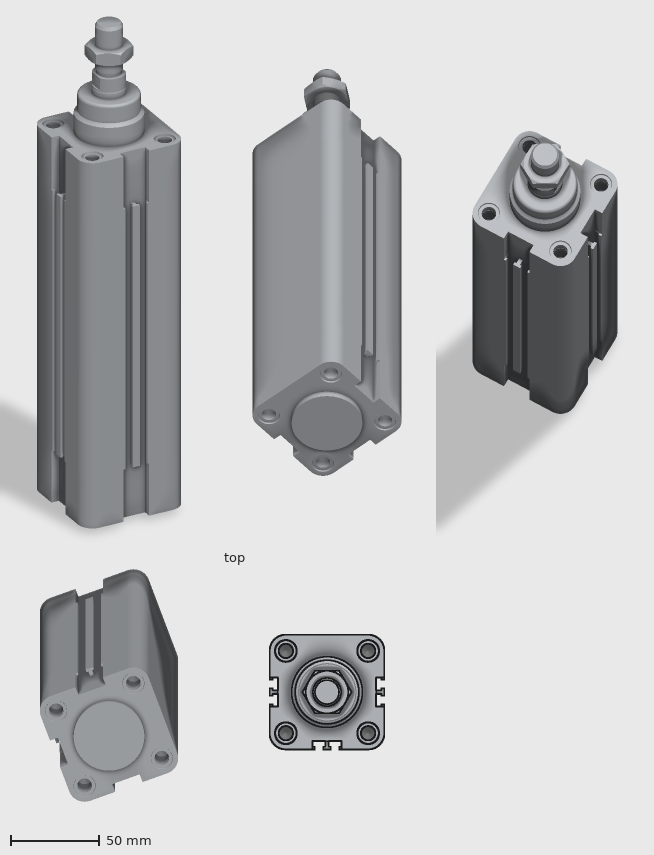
import cadquery as cq
import math

section_size = 65.0
bolt_spacing = 46.5
corner_radius = (section_size - bolt_spacing) / 2

cap_length = 33.0
tube_length = 165.0
tube_bottom = cap_length
tube_top = tube_bottom + tube_length
front_face = tube_top + cap_length

collar_diameter = 40.0
rear_collar_height = 4.0
front_collar_height = 14.0
nose_diameter = 36.0
nose_height = 25.0
collar_taper = (collar_diameter - nose_diameter) / 2
nose_fillet = 1.8

bolt_hole_diameter = 8.0
bolt_hole_mouth_diameter = 8.2
bolt_hole_mouth_depth = 6.0
bolt_hole_depth = 20.0
drill_point_angle = 118.0
counterbore_diameter = 12.5
counterbore_floor_diameter = 12.0
counterbore_depth = 1.0

groove_depth = 4.8
cap_groove_width = 16.5
slot_offset = 4.6
slot_opening = 4.8
slot_inner_width = 7.0
slot_lip = 1.7
groove_face_angles = (0, 90, -90)

rod_diameter = 20.0
wrench_neck_diameter = 19.5
wrench_neck_length = 8.3
wrench_neck_taper = 1.0
wrench_flats = 17.0
wrench_flats_length = 7.5
undercut_diameter = 14.5
undercut_length = 2.5
thread_diameter = 16.0
thread_chamfer_width = 1.2
thread_chamfer_length = 2.0
rod_stick_out = 69.0
rod_top = front_face + rod_stick_out
thread_length = 31.5
rod_shoulder = rod_top - thread_length

nut_flats = 24.0
nut_height = 8.0
nut_setback = 22.0
nut_bottom = rod_top - nut_setback
nut_chamfer_angle = 30.0


def square_block(bottom, length):
    """Square bar with rounded corners, standing on the given height."""
    return (
        cq.Workplane("XY", origin=(0, 0, bottom))
        .rect(section_size, section_size)
        .extrude(length)
        .edges("|Z")
        .fillet(corner_radius)
    )


def face_groove(offset, width, near_depth, far_depth, bottom, length):
    """Bar that cuts the -Y face between two depths below the face."""
    return (
        cq.Workplane("XY", origin=(offset, (near_depth + far_depth - section_size) / 2, bottom))
        .rect(width, far_depth - near_depth)
        .extrude(length)
    )


def cut_on_faces(block, cutter):
    """Repeat a cutter made for the -Y face on the three grooved faces."""
    for angle in groove_face_angles:
        block = block.cut(cutter.rotate((0, 0, 0), (0, 0, 1), angle))
    return block


def bolt_hole():
    """Stepped blind hole with a tapered counterbore and a drill point, going down from Z = 0."""
    radius = bolt_hole_diameter / 2
    mouth_radius = bolt_hole_mouth_diameter / 2
    tip = bolt_hole_depth + radius / math.tan(math.radians(drill_point_angle / 2))
    return (
        cq.Workplane("XZ")
        .polyline([
            (0, 0),
            (counterbore_diameter / 2, 0),
            (counterbore_floor_diameter / 2, -counterbore_depth),
            (mouth_radius, -counterbore_depth),
            (mouth_radius, -bolt_hole_mouth_depth),
            (radius, -bolt_hole_mouth_depth),
            (radius, -bolt_hole_depth),
            (0, -tip),
        ])
        .close()
        .revolve(360, (0, 0), (0, 1))
    )


def make_cap(bottom):
    """Cap block with one wide groove in each grooved face."""
    groove = face_groove(0, cap_groove_width, 0, groove_depth, bottom, cap_length)
    return cut_on_faces(square_block(bottom, cap_length), groove)


def cut_bolt_holes(cap, outer_face, flipped):
    """Cut the four corner holes from the outer face into the cap."""
    hole = bolt_hole()
    if flipped:
        hole = hole.rotate((0, 0, 0), (1, 0, 0), 180)
    for x in (-bolt_spacing / 2, bolt_spacing / 2):
        for y in (-bolt_spacing / 2, bolt_spacing / 2):
            cap = cap.cut(hole.translate((x, y, outer_face)))
    return cap


def make_rear_cap():
    """Cap with a plain locating collar on its outer face."""
    collar = cq.Workplane("XY").circle(collar_diameter / 2).extrude(-rear_collar_height)
    return cut_bolt_holes(make_cap(0).union(collar), 0, True)


def make_front_cap():
    """Cap with a stepped collar and nose around the rod bore."""
    collar = (
        cq.Workplane("XY", origin=(0, 0, front_face))
        .circle(collar_diameter / 2)
        .extrude(front_collar_height)
        .faces(">Z")
        .chamfer(collar_taper)
    )
    nose = (
        cq.Workplane("XY", origin=(0, 0, front_face))
        .circle(nose_diameter / 2)
        .extrude(nose_height)
        .faces(">Z")
        .edges()
        .fillet(nose_fillet)
    )
    rod_bore = (
        cq.Workplane("XY", origin=(0, 0, tube_top))
        .circle(rod_diameter / 2)
        .extrude(cap_length + nose_height)
    )
    cap = make_cap(tube_top).union(collar).union(nose).cut(rod_bore)
    return cut_bolt_holes(cap, front_face, False)


def make_tube():
    """Profile tube with a pair of T-slots in each grooved face."""
    tube = square_block(tube_bottom, tube_length)
    for offset in (-slot_offset, slot_offset):
        opening = face_groove(offset, slot_opening, 0, groove_depth, tube_bottom, tube_length)
        undercut = face_groove(offset, slot_inner_width, slot_lip, groove_depth, tube_bottom, tube_length)
        tube = cut_on_faces(tube, opening.union(undercut))
    return tube


def make_rod():
    """Rod with wrench flats, thread undercut and plain thread cylinder."""
    neck_bottom = rod_shoulder - wrench_neck_length
    thread_bottom = rod_shoulder + undercut_length
    thread_radius = thread_diameter / 2
    rod = (
        cq.Workplane("XZ")
        .polyline([
            (0, tube_top),
            (rod_diameter / 2, tube_top),
            (rod_diameter / 2, neck_bottom - wrench_neck_taper),
            (wrench_neck_diameter / 2, neck_bottom),
            (wrench_neck_diameter / 2, rod_shoulder),
            (undercut_diameter / 2, rod_shoulder),
            (undercut_diameter / 2, thread_bottom),
            (thread_radius, thread_bottom),
            (thread_radius, rod_top - thread_chamfer_length),
            (thread_radius - thread_chamfer_width, rod_top),
            (0, rod_top),
        ])
        .close()
        .revolve(360, (0, 0), (0, 1))
    )
    for side in (-1, 1):
        flat = (
            cq.Workplane("XY", origin=(0, side * (wrench_flats + rod_diameter) / 2, rod_shoulder))
            .rect(rod_diameter, rod_diameter)
            .extrude(-wrench_flats_length)
        )
        rod = rod.cut(flat)
    return rod


def make_nut():
    """Hexagon nut with both ends chamfered to a circle."""
    corner_diameter = nut_flats / math.cos(math.pi / 6)
    chamfer_width = (corner_diameter - nut_flats) / 2
    chamfer_height = chamfer_width * math.tan(math.radians(nut_chamfer_angle))
    blank = (
        cq.Workplane("XY", origin=(0, 0, nut_bottom))
        .polygon(6, corner_diameter)
        .extrude(nut_height)
    )
    envelope = (
        cq.Workplane("XY", origin=(0, 0, nut_bottom))
        .circle(corner_diameter / 2)
        .extrude(nut_height)
        .faces("<Z or >Z")
        .chamfer(chamfer_height, chamfer_width)
    )
    bore = (
        cq.Workplane("XY", origin=(0, 0, nut_bottom))
        .circle(thread_diameter / 2)
        .extrude(nut_height)
    )
    return blank.intersect(envelope).cut(bore)


rear_cap = make_rear_cap()
tube = make_tube()
front_cap = make_front_cap()
rod = make_rod()
nut = make_nut()

result = cq.Compound.makeCompound([
    rear_cap.val(),
    tube.val(),
    front_cap.val(),
    rod.val(),
    nut.val(),
])